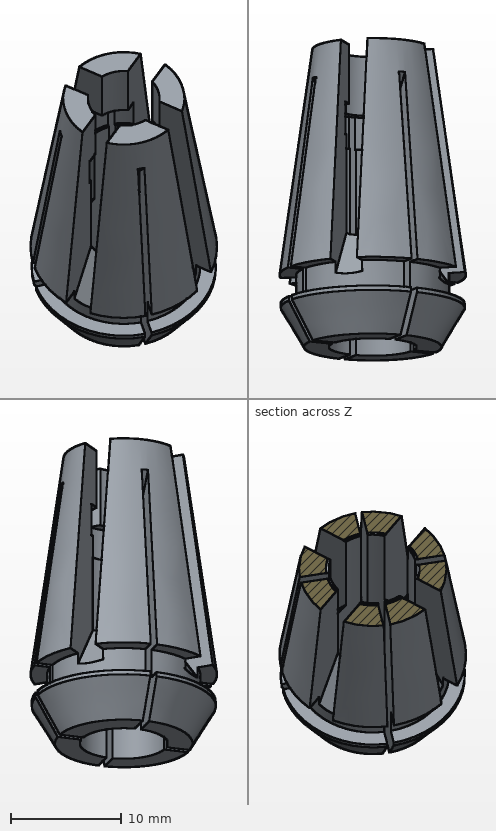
import cadquery as cq

length = 27.5
nose_outer_radius = 8.35
nose_face_radius = 6.25
nose_cone_height = 3.6
groove_bottom = 4.02
groove_top = 6.65
groove_radius = 6.95
taper_large_radius = 8.47
taper_small_radius = 5.5

clearance_radius = 4.0
grip_radius = 3.25
undercut_radius = 4.24
undercut_bottom = 19.03
undercut_top = 22.03

wide_slot_width = 2.53
floor_outer_height = 5.5
floor_inner_height = 9.62

slit_width = 0.6
slit_top = 24.42
taper_rate = (taper_large_radius - taper_small_radius) / (length - groove_top)
slit_outer_radius = taper_small_radius + taper_rate * (length - slit_top)

cut_reach = 2 * taper_large_radius


def make_body():
    profile = [
        (0, 0),
        (nose_face_radius, 0),
        (nose_outer_radius, nose_cone_height),
        (nose_outer_radius, groove_bottom),
        (groove_radius, groove_bottom),
        (groove_radius, groove_top),
        (taper_large_radius, groove_top),
        (taper_small_radius, length),
        (0, length),
    ]
    return cq.Workplane("XZ").polyline(profile).close().revolve(360, (0, 0), (0, 1))


def make_bore():
    grip = cq.Workplane("XY").circle(grip_radius).extrude(length)
    clearance = cq.Workplane("XY").circle(clearance_radius).extrude(undercut_top)
    undercut = (
        cq.Workplane("XY")
        .workplane(offset=undercut_bottom)
        .circle(undercut_radius)
        .extrude(undercut_top - undercut_bottom)
    )
    return grip.union(clearance).union(undercut)


def make_wide_slot():
    """Radial slot along +X whose floor slopes down from the bore to the groove."""
    floor_slope = (floor_outer_height - floor_inner_height) / (groove_radius - clearance_radius)
    axis_height = floor_inner_height - floor_slope * clearance_radius
    side_profile = [
        (0, axis_height),
        (groove_radius, floor_outer_height),
        (cut_reach, floor_outer_height),
        (cut_reach, length),
        (0, length),
    ]
    return cq.Workplane("XZ").polyline(side_profile).close().extrude(wide_slot_width / 2, both=True)


def make_slit():
    """Radial slit along +X whose end slopes up from the undercut to the tapered surface."""
    end_slope = (slit_top - undercut_top) / (slit_outer_radius - undercut_radius)
    reach_height = undercut_top + end_slope * (cut_reach - undercut_radius)
    side_profile = [
        (0, 0),
        (cut_reach, 0),
        (cut_reach, reach_height),
        (undercut_radius, undercut_top),
        (0, undercut_top),
    ]
    return cq.Workplane("XZ").polyline(side_profile).close().extrude(slit_width / 2, both=True)


result = make_body().cut(make_bore())
for quarter in range(4):
    slot_angle = 90 * quarter
    result = result.cut(make_wide_slot().rotate((0, 0, 0), (0, 0, 1), slot_angle))
    result = result.cut(make_slit().rotate((0, 0, 0), (0, 0, 1), slot_angle + 45))